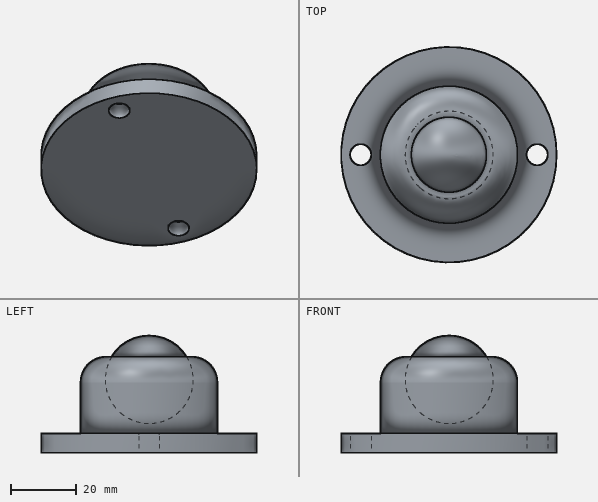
import cadquery as cq

flange_diameter = 66.0
flange_thickness = 6.0
mount_hole_diameter = 6.4
mount_hole_spacing = 54.0

cup_diameter = 42.0
cup_top = 29.5
cup_round = 8.0

overall_height = 36.0
ball_radius = 13.45
ball_center_z = overall_height - ball_radius


def make_ball():
    """Full sphere whose crown stands above the cup."""
    return cq.Workplane("XY").sphere(ball_radius).translate((0, 0, ball_center_z))


def make_housing():
    """Round flange and cup in one piece, with a spherical seat that fits the ball."""
    flange = cq.Workplane("XY").circle(flange_diameter / 2).extrude(flange_thickness)
    cup = cq.Workplane("XY").circle(cup_diameter / 2).extrude(cup_top)
    cup = cup.faces(">Z").edges().fillet(cup_round)
    mount_holes = (
        cq.Workplane("XY")
        .pushPoints([(-mount_hole_spacing / 2, 0), (mount_hole_spacing / 2, 0)])
        .circle(mount_hole_diameter / 2)
        .extrude(flange_thickness)
    )
    return flange.union(cup).cut(mount_holes).cut(make_ball())


housing = make_housing()
ball = make_ball()

result = cq.Compound.makeCompound([housing.val(), ball.val()])